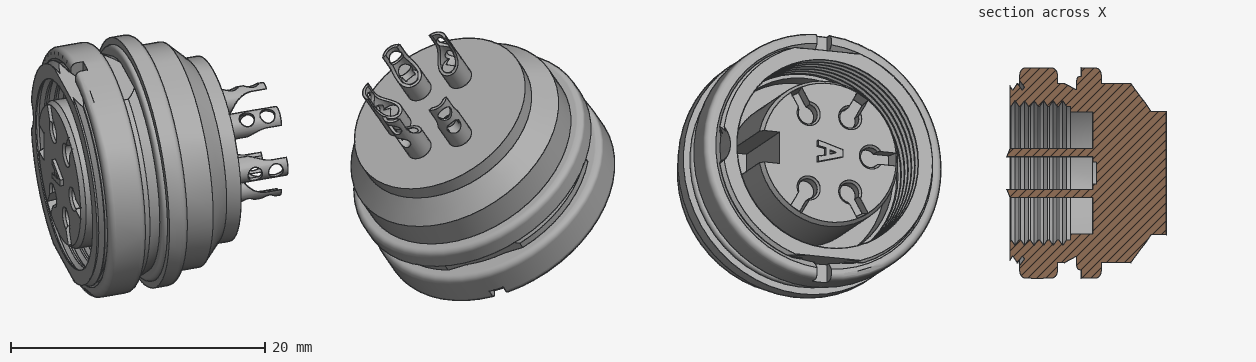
import cadquery as cq
import math


THREAD_DIAMETER = 18.0
FLANGE_DIAMETER = 20.0
REAR_BODY_DIAMETER = 18.0
REAR_COLLAR_DIAMETER = 14.8
RELIEF_DIAMETER = 17.2
RELIEF_END_Y = 4.3
FLANGE_FRONT_Y = 5.6
FLANGE_REAR_Y = 7.2
REAR_TAPER_START_Y = 9.5
REAR_COLLAR_START_Y = 11.1
SHELL_REAR_Y = 12.3
EDGE_RADIUS = 0.5
FLAT_HALF_HEIGHT = 8.4
KEYWAY_RADIUS = 2.0
KEYWAY_BOTTOM_X = -8.2

THREAD_PITCH = 0.75
OUTER_GROOVE_DEPTH = 0.42
OUTER_GROOVE_WIDTH = 0.7
OUTER_FIRST_ROOT_Y = 0.22
OUTER_GROOVE_COUNT = 5
INNER_GROOVE_DEPTH = 0.3
INNER_GROOVE_WIDTH = 0.6
INNER_FIRST_ROOT_Y = 0.4
INNER_GROOVE_COUNT = 6

CAVITY_DIAMETER = 14.7
CAVITY_THREAD_DIAMETER = 15.3
CAVITY_THREAD_LENGTH = 4.75
CAVITY_DEPTH = 6.5

SEAL_DIAMETER = 18.9
SEAL_FRONT_Y = 5.23
SEAL_ROUNDING = 0.3

NUT_DIAMETER = 20.0
NUT_BORE_DIAMETER = 17.1
NUT_MOUTH_DIAMETER = 18.3
NUT_FRONT_Y = 0.75
NUT_REAR_Y = 3.75
NUT_SLOT_WIDTH = 1.2
NUT_SLOT_DEPTH = 1.0

INSERT_DIAMETER = 11.8
INSERT_FRONT_Y = -0.37
INSERT_CHAMFER_LENGTH = 0.37
INSERT_FACE_RADIUS = 5.64
KEY_NOTCH_WIDTH = 2.56
KEY_NOTCH_INNER_X = -4.2
KEY_NOTCH_EXTRA_DEPTH = 0.3

CONTACT_CIRCLE_RADIUS = 3.5
CONTACT_ANGLES = (-120, -60, 0, 60, 120)
SOCKET_DIAMETER = 1.6
SOCKET_MOUTH_DIAMETER = 1.95
SOCKET_COUNTERSINK_DEPTH = 0.2
SOCKET_DEPTH = 1.0
SLOT_WIDTH = 1.05
SLOT_DEPTH = SOCKET_DEPTH
SLOT_FLOOR_END_RADIUS = 5.38

CUP_DIAMETER = 2.0
CUP_END_Y = 17.05
CUP_BORE_DIAMETER = 1.5
CUP_BORE_START_Y = 14.0
CUP_WALL_OFFSET = 0.52
SCOOP_RADIUS = 2.0
SCOOP_END_Y = 15.9
WIRE_HOLE_DIAMETER = 1.2
WIRE_HOLE_STATIONS_Y = (14.35, 16.05)

MARK_TOP_Y = -0.65
MARK_LENGTH = 2.1
MARK_BASE_HALF_WIDTH = 0.87
MARK_TIP_HALF_WIDTH = 0.28
MARK_FOOT_GAP_HALF_WIDTH = 0.42
MARK_CROSSBAR_HALF_WIDTH = 0.29
MARK_CROSSBAR_X = -0.41
MARK_WINDOW_START_X = -0.05
MARK_WINDOW_END_X = 0.45
MARK_WINDOW_HALF_WIDTH = 0.17


def turned(points):
    """Revolve a closed (radius, y) outline about the Y axis."""
    return cq.Workplane("XY").polyline(points).close().revolve(360, (0, 0, 0), (0, 1, 0))


def cylinder_y(radius, start_y, end_y, x=0.0):
    """Cylinder parallel to Y, centred on Z = 0."""
    base = cq.Workplane("XZ", origin=(x, start_y, 0))
    return base.circle(radius).extrude(start_y - end_y)


def box_between(x_range, y_range, z_range):
    """Axis-aligned box given by its limits."""
    size = [high - low for low, high in (x_range, y_range, z_range)]
    corner = (x_range[0], y_range[0], z_range[0])
    return cq.Workplane("XY").box(*size, centered=False).translate(corner)


def at_contact(shape, angle):
    """Turn a shape built on the +X ray to a contact's angle about the Y axis."""
    return shape.rotate((0, 0, 0), (0, 1, 0), -angle)


def v_groove(surface_radius, root_radius, width, root_y):
    """Ring with a V section, used to cut one thread turn."""
    return turned([
        (surface_radius, root_y - width / 2),
        (root_radius, root_y),
        (surface_radius, root_y + width / 2),
    ])


def make_shell():
    thread_radius = THREAD_DIAMETER / 2
    flange_radius = FLANGE_DIAMETER / 2
    rear_radius = REAR_BODY_DIAMETER / 2
    collar_radius = REAR_COLLAR_DIAMETER / 2
    front_part = turned([
        (0, 0),
        (thread_radius, 0),
        (thread_radius, RELIEF_END_Y),
        (RELIEF_DIAMETER / 2, SEAL_FRONT_Y),
        (RELIEF_DIAMETER / 2, FLANGE_FRONT_Y),
        (0, FLANGE_FRONT_Y),
    ])
    for turn in range(OUTER_GROOVE_COUNT):
        root_y = OUTER_FIRST_ROOT_Y + turn * THREAD_PITCH
        root_radius = thread_radius - OUTER_GROOVE_DEPTH
        front_part = front_part.cut(v_groove(thread_radius, root_radius, OUTER_GROOVE_WIDTH, root_y))

    flat_slab = box_between(
        (-flange_radius, flange_radius),
        (0, FLANGE_FRONT_Y),
        (-FLAT_HALF_HEIGHT, FLAT_HALF_HEIGHT),
    )
    keyway = cylinder_y(KEYWAY_RADIUS, 0, FLANGE_FRONT_Y, KEYWAY_BOTTOM_X - KEYWAY_RADIUS)
    front_part = front_part.intersect(flat_slab).cut(keyway)

    flange = cylinder_y(flange_radius, FLANGE_FRONT_Y, FLANGE_REAR_Y)
    flange = flange.faces(">Y").edges().fillet(EDGE_RADIUS)
    rear_part = turned([
        (0, FLANGE_FRONT_Y),
        (rear_radius, FLANGE_FRONT_Y),
        (rear_radius, REAR_TAPER_START_Y),
        (collar_radius, REAR_COLLAR_START_Y),
        (collar_radius, SHELL_REAR_Y),
        (0, SHELL_REAR_Y),
    ])
    return front_part.union(flange).union(rear_part)


def make_seal():
    seal = cylinder_y(SEAL_DIAMETER / 2, SEAL_FRONT_Y, FLANGE_FRONT_Y)
    return seal.faces("<Y").edges().fillet(SEAL_ROUNDING)


def make_nut():
    bore_radius = NUT_BORE_DIAMETER / 2
    mouth_radius = NUT_MOUTH_DIAMETER / 2
    nut = cylinder_y(NUT_DIAMETER / 2, NUT_FRONT_Y, NUT_REAR_Y).edges().fillet(EDGE_RADIUS)
    mouth_end_y = NUT_FRONT_Y + mouth_radius - bore_radius
    bore = turned([
        (0, NUT_FRONT_Y),
        (mouth_radius, NUT_FRONT_Y),
        (bore_radius, mouth_end_y),
        (bore_radius, NUT_REAR_Y),
        (0, NUT_REAR_Y),
    ])
    spanner_slot = box_between(
        (-NUT_SLOT_WIDTH / 2, NUT_SLOT_WIDTH / 2),
        (NUT_FRONT_Y, NUT_FRONT_Y + NUT_SLOT_DEPTH),
        (-NUT_DIAMETER / 2, NUT_DIAMETER / 2),
    )
    return nut.cut(bore).cut(spanner_slot)


def make_cavity():
    """Bore of the shell with its threaded mouth and plain inner end."""
    cavity_radius = CAVITY_DIAMETER / 2
    crest_radius = CAVITY_THREAD_DIAMETER / 2
    cavity = turned([
        (0, 0),
        (crest_radius, 0),
        (crest_radius, CAVITY_THREAD_LENGTH),
        (cavity_radius, CAVITY_THREAD_LENGTH),
        (cavity_radius, CAVITY_DEPTH),
        (0, CAVITY_DEPTH),
    ])
    for turn in range(INNER_GROOVE_COUNT):
        root_y = INNER_FIRST_ROOT_Y + turn * THREAD_PITCH
        root_radius = crest_radius + INNER_GROOVE_DEPTH
        cavity = cavity.union(v_groove(crest_radius, root_radius, INNER_GROOVE_WIDTH, root_y))
    return cavity


def make_insert():
    insert_radius = INSERT_DIAMETER / 2
    return turned([
        (0, INSERT_FRONT_Y),
        (INSERT_FACE_RADIUS, INSERT_FRONT_Y),
        (insert_radius, INSERT_FRONT_Y + INSERT_CHAMFER_LENGTH),
        (insert_radius, CAVITY_DEPTH),
        (0, CAVITY_DEPTH),
    ])


def make_key_notch():
    """Keying notch in the -X side of the insert, slightly deeper inside the face radius."""
    half_width = KEY_NOTCH_WIDTH / 2
    x_range = (-INSERT_DIAMETER / 2, KEY_NOTCH_INNER_X)
    z_range = (-half_width, half_width)
    notch = box_between(x_range, (INSERT_FRONT_Y, CAVITY_DEPTH), z_range)
    deep_end_y = CAVITY_DEPTH + KEY_NOTCH_EXTRA_DEPTH
    deep_part = box_between(x_range, (CAVITY_DEPTH, deep_end_y), z_range)
    return notch.union(deep_part.intersect(cylinder_y(INSERT_FACE_RADIUS, CAVITY_DEPTH, deep_end_y)))


def make_contact_socket():
    """Countersunk contact hole with a shallow slot running outward, on the +X ray."""
    socket_radius = SOCKET_DIAMETER / 2
    hole = turned([
        (0, INSERT_FRONT_Y),
        (SOCKET_MOUTH_DIAMETER / 2, INSERT_FRONT_Y),
        (socket_radius, INSERT_FRONT_Y + SOCKET_COUNTERSINK_DEPTH),
        (socket_radius, INSERT_FRONT_Y + SOCKET_DEPTH),
        (0, INSERT_FRONT_Y + SOCKET_DEPTH),
    ]).translate((CONTACT_CIRCLE_RADIUS, 0, 0))
    half_width = SLOT_WIDTH / 2
    slot_end_radius = math.sqrt(INSERT_FACE_RADIUS ** 2 - half_width ** 2)
    floor_y = INSERT_FRONT_Y + SLOT_DEPTH
    slot = cq.Workplane("XY").polyline([
        (CONTACT_CIRCLE_RADIUS, INSERT_FRONT_Y),
        (slot_end_radius, INSERT_FRONT_Y),
        (SLOT_FLOOR_END_RADIUS, floor_y),
        (CONTACT_CIRCLE_RADIUS, floor_y),
    ]).close().extrude(half_width, both=True)
    return hole.union(slot)


def make_solder_cup():
    """Solder cup on the +X ray, scooped open toward the axis and drilled twice."""
    cup_radius = CUP_DIAMETER / 2
    cup = cylinder_y(cup_radius, SHELL_REAR_Y, CUP_END_Y, CONTACT_CIRCLE_RADIUS)
    bore = cylinder_y(CUP_BORE_DIAMETER / 2, CUP_BORE_START_Y, CUP_END_Y, CONTACT_CIRCLE_RADIUS)

    scoop_side_x = CONTACT_CIRCLE_RADIUS - CUP_DIAMETER
    wall_x = CONTACT_CIRCLE_RADIUS + CUP_WALL_OFFSET
    scoop_center_x = wall_x - SCOOP_RADIUS
    arc_middle = SCOOP_RADIUS * math.sqrt(0.5)
    scoop = (
        cq.Workplane("XY")
        .moveTo(wall_x, CUP_END_Y)
        .lineTo(wall_x, SCOOP_END_Y)
        .threePointArc(
            (scoop_center_x + arc_middle, SCOOP_END_Y - arc_middle),
            (scoop_center_x, SCOOP_END_Y - SCOOP_RADIUS),
        )
        .lineTo(scoop_side_x, SCOOP_END_Y - SCOOP_RADIUS)
        .lineTo(scoop_side_x, CUP_END_Y)
        .close()
        .extrude(cup_radius, both=True)
    )
    cup = cup.cut(bore).cut(scoop)
    for station_y in WIRE_HOLE_STATIONS_Y:
        drill_start = cq.Workplane("YZ", origin=(CONTACT_CIRCLE_RADIUS, station_y, 0))
        cup = cup.cut(drill_start.circle(WIRE_HOLE_DIAMETER / 2).extrude(cup_radius))
    return cup


def make_mark():
    """Raised A-shaped mark whose tip points toward +X."""
    base_x = -MARK_LENGTH / 2
    tip_x = MARK_LENGTH / 2
    face = cq.Workplane("XZ", origin=(0, INSERT_FRONT_Y, 0))
    height = INSERT_FRONT_Y - MARK_TOP_Y
    outline = face.polyline([
        (base_x, MARK_BASE_HALF_WIDTH),
        (tip_x, MARK_TIP_HALF_WIDTH),
        (tip_x, -MARK_TIP_HALF_WIDTH),
        (base_x, -MARK_BASE_HALF_WIDTH),
        (base_x, -MARK_FOOT_GAP_HALF_WIDTH),
        (MARK_CROSSBAR_X, -MARK_CROSSBAR_HALF_WIDTH),
        (MARK_CROSSBAR_X, MARK_CROSSBAR_HALF_WIDTH),
        (base_x, MARK_FOOT_GAP_HALF_WIDTH),
    ]).close().extrude(height)
    window = face.polyline([
        (MARK_WINDOW_START_X, MARK_WINDOW_HALF_WIDTH),
        (MARK_WINDOW_END_X, 0),
        (MARK_WINDOW_START_X, -MARK_WINDOW_HALF_WIDTH),
    ]).close().extrude(height)
    return outline.cut(window)


result = make_shell().union(make_seal()).union(make_nut())
result = result.cut(make_cavity()).union(make_insert()).cut(make_key_notch())
for contact_angle in CONTACT_ANGLES:
    result = result.cut(at_contact(make_contact_socket(), contact_angle))
    result = result.union(at_contact(make_solder_cup(), contact_angle))
result = result.union(make_mark())